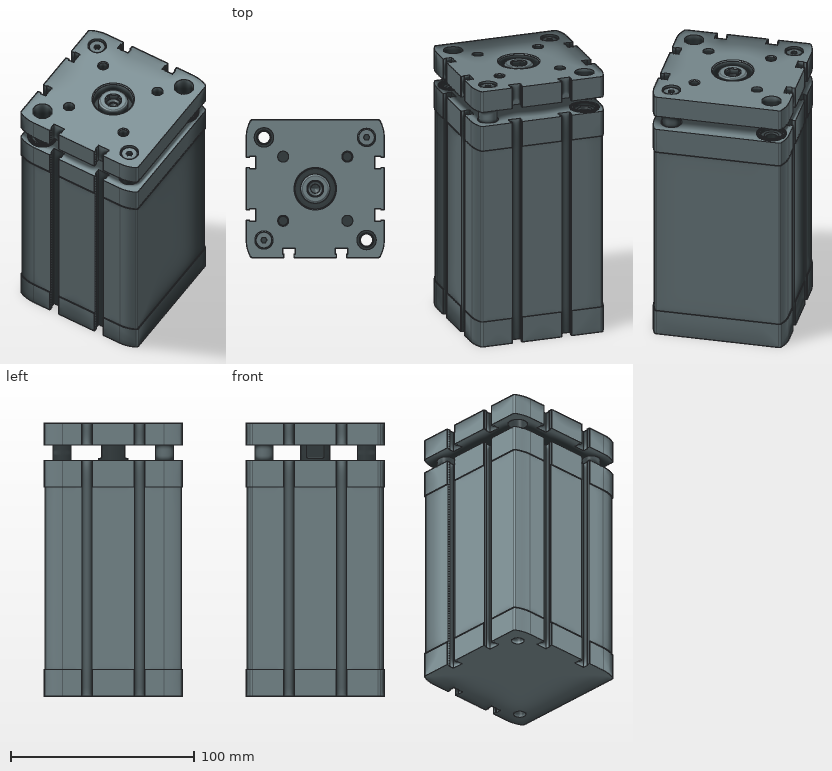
import cadquery as cq
import math

WIDTH = 75.5
HOUSING_HEIGHT = 128.7
CAP_HEIGHT = 14.5
STROKE_GAP = 8.3
PLATE_THICKNESS = 12.0

SIDE_ARC_RADIUS = 20.0
SIDE_ARC_HEIGHT = 10.0
CORNER_RADIUS = 1.5
TUBE_INSET = 0.5

SLOT_OFFSET = 14.35
SLOT_MOUTH = 5.5
SLOT_WIDTH = 6.65
SLOT_LIP = 2.0
SLOT_DEPTH = 5.2
SLOT_MOUTH_CHAMFER = 0.3

CORNER_OFFSET = 28.0
GUIDE_DIAMETER = 10.0
GUIDE_MOUTH_DIAMETER = 11.5
GUIDE_TOP_RECESS = 1.0
GUIDE_END_DIAMETER = 8.57
GUIDE_SOCKET_FLATS = 3.0
GUIDE_SOCKET_DEPTH = 3.0

MOUNT_DIAMETER = 6.65
MOUNT_ENTRY_DIAMETER = 8.0
MOUNT_ENTRY_DEPTH = 1.0
COUNTERBORE_DIAMETER = 12.0
COUNTERBORE_DEPTH = 1.5
COLLAR_DIAMETER = 14.0
COLLAR_CHAMFER = 0.25
GROOVE_DIAMETER = 15.5
GROOVE_MOUTH_DIAMETER = 16.4
GROOVE_DEPTH = 1.0

ACCESS_DIAMETER = 10.6
PLATE_HOLE_OFFSET = 17.5
PIN_HOLE_DIAMETER = 6.0
THREAD_CORE_DIAMETER = 4.92

PISTON_ROD_DIAMETER = 16.0
PISTON_ROD_ROUNDING = 1.0
PISTON_ROD_RECESS = 1.0
ROD_FLAT_WIDTH = 12.8
ROD_FLAT_CLEARANCE = 1.1
ROD_FLAT_FILLET = 0.8
POCKET_DIAMETER = 22.0
POCKET_CHAMFER = 0.6
POCKET_DEPTH = 7.5

SOCKET_FLATS = 8.0
SOCKET_DEPTH = 3.5
SOCKET_DRILL_DIAMETER = 5.0
DRILL_POINT_ANGLE = 118.0

HALF_WIDTH = WIDTH / 2
PLATE_BOTTOM = HOUSING_HEIGHT + STROKE_GAP
PLATE_TOP = PLATE_BOTTOM + PLATE_THICKNESS
ROD_TOP = PLATE_TOP - PISTON_ROD_RECESS
ROD_BOTTOM = HOUSING_HEIGHT - CAP_HEIGHT
GUIDE_POINTS = [(CORNER_OFFSET, CORNER_OFFSET), (-CORNER_OFFSET, -CORNER_OFFSET)]
MOUNT_POINTS = [(-CORNER_OFFSET, CORNER_OFFSET), (CORNER_OFFSET, -CORNER_OFFSET)]
THREAD_POINTS = [(PLATE_HOLE_OFFSET, PLATE_HOLE_OFFSET), (-PLATE_HOLE_OFFSET, -PLATE_HOLE_OFFSET)]
PIN_POINTS = [(-PLATE_HOLE_OFFSET, PLATE_HOLE_OFFSET), (PLATE_HOLE_OFFSET, -PLATE_HOLE_OFFSET)]


def cylinder(diameter, bottom, top, points=((0, 0),)):
    """Upright cylinders of one diameter at the given points."""
    base = cq.Workplane("XY", origin=(0, 0, bottom)).pushPoints(points)
    return base.circle(diameter / 2).extrude(top - bottom)


def cone(bottom_diameter, top_diameter, bottom, top, point=(0, 0)):
    """Upright cone or truncated cone."""
    return cq.Workplane(cq.Solid.makeCone(
        bottom_diameter / 2, top_diameter / 2, top - bottom, cq.Vector(*point, bottom)))


def hexagon(flats, bottom, top, point=(0, 0)):
    """Hexagonal prism with two corners on the X axis."""
    corners = flats / math.cos(math.pi / 6)
    base = cq.Workplane("XY", origin=(0, 0, bottom)).pushPoints([point])
    return base.polygon(6, corners).extrude(top - bottom)


def profile_block(inset, bottom, top):
    """Block with flat Y sides and X sides that curve in towards the rounded corners."""
    half = HALF_WIDTH - inset
    arc_radius = SIDE_ARC_RADIUS - inset
    arc_start = HALF_WIDTH - SIDE_ARC_HEIGHT

    def arc_point(y):
        x = half - arc_radius + math.sqrt(arc_radius ** 2 - (y - arc_start) ** 2)
        return x, y

    mid_x, mid_y = arc_point((arc_start + half) / 2)
    end_x, end_y = arc_point(half)
    outline = (
        cq.Workplane("XY", origin=(0, 0, bottom))
        .moveTo(half, -arc_start)
        .lineTo(half, arc_start)
        .threePointArc((mid_x, mid_y), (end_x, end_y))
        .lineTo(-end_x, end_y)
        .threePointArc((-mid_x, mid_y), (-half, arc_start))
        .lineTo(-half, -arc_start)
        .threePointArc((-mid_x, -mid_y), (-end_x, -end_y))
        .lineTo(end_x, -end_y)
        .threePointArc((mid_x, -mid_y), (half, -arc_start))
        .close()
    )
    block = outline.extrude(top - bottom)
    for y_side in ("<Y", ">Y"):
        block = block.faces(y_side).edges("|Z").fillet(CORNER_RADIUS - inset)
    return block


def slots(bottom, top):
    """Sensor slots: two T-shaped channels on each X side and on the -Y side."""
    height = top - bottom
    mouth = cq.Workplane("XY").box(SLOT_LIP, SLOT_MOUTH, height, centered=(False, True, False))
    chamber = cq.Workplane("XY").box(
        SLOT_DEPTH - SLOT_LIP, SLOT_WIDTH, height, centered=(False, True, False)).translate((SLOT_LIP, 0, 0))
    lead_in = (
        cq.Workplane("XY")
        .moveTo(0, -SLOT_MOUTH / 2 - SLOT_MOUTH_CHAMFER)
        .lineTo(0, SLOT_MOUTH / 2 + SLOT_MOUTH_CHAMFER)
        .lineTo(SLOT_MOUTH_CHAMFER, SLOT_MOUTH / 2)
        .lineTo(SLOT_MOUTH_CHAMFER, -SLOT_MOUTH / 2)
        .close()
        .extrude(height)
    )
    slot = mouth.union(chamber).union(lead_in)
    channels = cq.Workplane("XY")
    for angle in (0, 90, 180):
        for offset in (-SLOT_OFFSET, SLOT_OFFSET):
            channel = slot.translate((-HALF_WIDTH, offset, bottom)).rotate((0, 0, 0), (0, 0, 1), angle)
            channels = channels.add(channel)
    return channels.combine()


def mount_cutter(point):
    """Counterbored mounting hole with a coned entry, and a ring groove that leaves a collar around it."""
    groove_floor = HOUSING_HEIGHT - GROOVE_DEPTH
    groove_chamfer = (GROOVE_MOUTH_DIAMETER - GROOVE_DIAMETER) / 2
    collar_top_diameter = COLLAR_DIAMETER - 2 * COLLAR_CHAMFER
    groove = cylinder(GROOVE_DIAMETER, groove_floor, HOUSING_HEIGHT, [point])
    groove = groove.union(cone(
        GROOVE_DIAMETER, GROOVE_MOUTH_DIAMETER, HOUSING_HEIGHT - groove_chamfer, HOUSING_HEIGHT, point))
    collar = cylinder(COLLAR_DIAMETER, groove_floor, HOUSING_HEIGHT - COLLAR_CHAMFER, [point])
    collar = collar.union(cone(
        COLLAR_DIAMETER, collar_top_diameter, HOUSING_HEIGHT - COLLAR_CHAMFER, HOUSING_HEIGHT, point))
    counterbore_floor = HOUSING_HEIGHT - COUNTERBORE_DEPTH
    hole = cylinder(MOUNT_DIAMETER, 0, HOUSING_HEIGHT, [point])
    entry = cone(
        MOUNT_DIAMETER, MOUNT_ENTRY_DIAMETER, counterbore_floor - MOUNT_ENTRY_DEPTH, counterbore_floor, point)
    counterbore = cylinder(COUNTERBORE_DIAMETER, counterbore_floor, HOUSING_HEIGHT, [point])
    return groove.cut(collar).union(hole).union(entry).union(counterbore)


def make_housing():
    """Cylinder housing: profiled tube between two slightly larger caps."""
    body = profile_block(TUBE_INSET, CAP_HEIGHT, HOUSING_HEIGHT - CAP_HEIGHT)
    body = body.union(profile_block(0, 0, CAP_HEIGHT))
    body = body.union(profile_block(0, HOUSING_HEIGHT - CAP_HEIGHT, HOUSING_HEIGHT))
    body = body.cut(slots(0, HOUSING_HEIGHT))
    for point in MOUNT_POINTS:
        body = body.cut(mount_cutter(point))

    body = body.cut(cylinder(PISTON_ROD_DIAMETER, ROD_BOTTOM, HOUSING_HEIGHT))
    body = body.cut(cylinder(GUIDE_DIAMETER, ROD_BOTTOM, HOUSING_HEIGHT, GUIDE_POINTS))
    mouth_chamfer = (GUIDE_MOUTH_DIAMETER - GUIDE_DIAMETER) / 2
    for point in GUIDE_POINTS:
        body = body.cut(cone(
            GUIDE_DIAMETER, GUIDE_MOUTH_DIAMETER, HOUSING_HEIGHT - mouth_chamfer, HOUSING_HEIGHT, point))
    return body


def make_piston_rod():
    """Piston rod with two wrench flats facing Y and a hexagon socket in its end."""
    rod = cylinder(PISTON_ROD_DIAMETER, ROD_BOTTOM, ROD_TOP).faces(">Z").fillet(PISTON_ROD_ROUNDING)

    flat_bottom = HOUSING_HEIGHT + ROD_FLAT_CLEARANCE
    flat_height = PLATE_BOTTOM - flat_bottom
    flat_cutter = (
        cq.Workplane("XY")
        .box(PISTON_ROD_DIAMETER, PISTON_ROD_DIAMETER, flat_height, centered=(True, False, False))
        .faces("<Y").edges("<Z").fillet(ROD_FLAT_FILLET)
        .translate((0, ROD_FLAT_WIDTH / 2, flat_bottom))
    )
    rod = rod.cut(flat_cutter).cut(flat_cutter.mirror("XZ"))

    cone_slope = math.tan(math.radians(90 - DRILL_POINT_ANGLE / 2))
    socket_corners = SOCKET_FLATS / math.cos(math.pi / 6)
    socket_floor = ROD_TOP - SOCKET_DEPTH
    entry_depth = (socket_corners - SOCKET_FLATS) / 2
    floor_cone_depth = (SOCKET_FLATS - SOCKET_DRILL_DIAMETER) / 2 * cone_slope
    drill_bottom = socket_floor - 2 * floor_cone_depth
    drill_tip = drill_bottom - SOCKET_DRILL_DIAMETER / 2 * cone_slope
    rod = rod.cut(hexagon(SOCKET_FLATS, socket_floor, ROD_TOP))
    rod = rod.cut(cone(SOCKET_FLATS, socket_corners, ROD_TOP - entry_depth, ROD_TOP))
    rod = rod.cut(cone(SOCKET_DRILL_DIAMETER, SOCKET_FLATS, socket_floor - floor_cone_depth, socket_floor))
    rod = rod.cut(cylinder(SOCKET_DRILL_DIAMETER, drill_bottom, socket_floor))
    return rod.cut(cone(0, SOCKET_DRILL_DIAMETER, drill_tip, drill_bottom))


def finish_guide_end(carriage, point):
    """Recess a guide rod's end in the plate, with a chamfered rim and a hexagon socket."""
    end_top = PLATE_TOP - GUIDE_TOP_RECESS
    end_bottom = end_top - (GUIDE_DIAMETER - GUIDE_END_DIAMETER) / 2
    carriage = carriage.cut(cylinder(GUIDE_DIAMETER, end_bottom, PLATE_TOP, [point]))
    carriage = carriage.union(cone(GUIDE_DIAMETER, GUIDE_END_DIAMETER, end_bottom, end_top, point))
    return carriage.cut(hexagon(GUIDE_SOCKET_FLATS, end_top - GUIDE_SOCKET_DEPTH, end_top, point))


def make_carriage():
    """Moving part: front plate with the piston rod and the two guide rods."""
    plate = profile_block(0, PLATE_BOTTOM, PLATE_TOP).cut(slots(PLATE_BOTTOM, PLATE_TOP))
    plate = plate.cut(cylinder(ACCESS_DIAMETER, PLATE_BOTTOM, PLATE_TOP, MOUNT_POINTS))
    plate = plate.cut(cylinder(PIN_HOLE_DIAMETER, PLATE_BOTTOM, PLATE_TOP, PIN_POINTS))
    plate = plate.cut(cylinder(THREAD_CORE_DIAMETER, PLATE_BOTTOM, PLATE_TOP, THREAD_POINTS))
    thread_chamfer = (PIN_HOLE_DIAMETER - THREAD_CORE_DIAMETER) / 2
    for point in THREAD_POINTS:
        plate = plate.cut(cone(
            THREAD_CORE_DIAMETER, PIN_HOLE_DIAMETER, PLATE_TOP - thread_chamfer, PLATE_TOP, point))

    plate = plate.cut(cylinder(POCKET_DIAMETER, PLATE_TOP - POCKET_DEPTH, PLATE_TOP))
    plate = plate.cut(cone(
        POCKET_DIAMETER, POCKET_DIAMETER + 2 * POCKET_CHAMFER, PLATE_TOP - POCKET_CHAMFER, PLATE_TOP))
    plate = plate.cut(cylinder(PISTON_ROD_DIAMETER, PLATE_BOTTOM, PLATE_TOP))

    carriage = plate.union(make_piston_rod())
    carriage = carriage.union(cylinder(GUIDE_DIAMETER, ROD_BOTTOM, PLATE_BOTTOM, GUIDE_POINTS))
    for point in GUIDE_POINTS:
        carriage = finish_guide_end(carriage, point)
    return carriage


housing = make_housing()
carriage = make_carriage()

result = cq.Compound.makeCompound([housing.val(), carriage.val()])